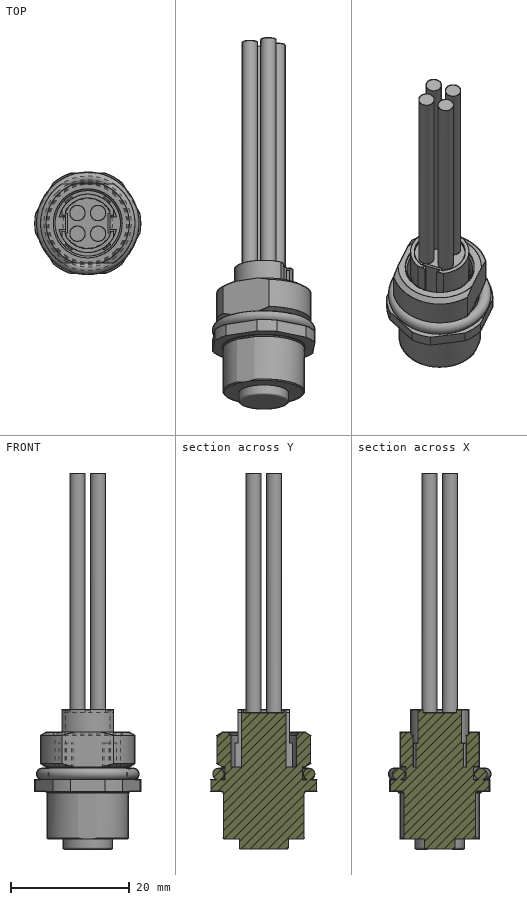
import cadquery as cq
import math

INSERT_BOTTOM_Z = 0.0
BODY_BOTTOM_Z = 1.7
FLANGE_BOTTOM_Z = 9.8
FLANGE_TOP_Z = 11.8
NUT_BOTTOM_Z = 13.95
NUT_TOP_Z = 19.85
COLLAR_TOP_Z = 23.65
WIRE_TOP_Z = 63.7

INSERT_DIAMETER = 8.4
INSERT_EDGE_ROUND = 0.3

BODY_DIAMETER = 13.8
BODY_ACROSS_FLATS = 13.4
BODY_BOTTOM_CHAMFER = 0.2

ROOT_DIAMETER = 14.1
ROOT_HEIGHT = 0.3
ROOT_RIM_HEIGHT = 0.1

FLANGE_ACROSS_FLATS = 17.0
FLANGE_DIAMETER = 18.0

SEAL_OUTER_DIAMETER = 17.4
SEAL_SECTION_DIAMETER = 2.0
SEAL_EMBEDDING = 0.05
BARREL_DIAMETER = 13.2

NUT_DIAMETER = 16.0
NUT_ACROSS_FLATS = 13.4
NUT_FACE_DIAMETER = 14.1
NUT_CHAMFER_ANGLE = 30.0
BORE_DIAMETER = 11.1
BORE_CHAMFER = 0.3

COLLAR_DIAMETER = 9.9
COLLAR_INNER_DIAMETER = 8.6
COLLAR_POCKET_DEPTH = 0.5
SIDE_ACROSS_FLATS = 8.75
SIDE_FLAT_BOTTOM_Z = 18.0
GROOVE_WIDTH = 2.1
GROOVE_MOUTH_WIDTH = 2.8
GROOVE_MOUTH_DEPTH = 0.5
GROOVE_FLOOR_X = 3.8
POCKET_FLOOR_Z = COLLAR_TOP_Z - COLLAR_POCKET_DEPTH
POCKET_LENGTH = 2 * GROOVE_FLOOR_X
THICK_WALL_WIDTH = 3.3
POCKET_NARROW_LENGTH = 6.8

RIB_ANGLE = 51.0
RIB_LENGTH = 1.4
RIB_HEIGHT = 0.25
RIB_ROOT_DEPTH = 0.4

WIRE_DIAMETER = 2.6
WIRE_SPACING = 3.5


def cylinder(diameter, bottom_z, top_z):
    """Upright cylinder about the Z axis."""
    return cq.Workplane("XY").workplane(offset=bottom_z).circle(diameter / 2).extrude(top_z - bottom_z)


def block(size_x, size_y, bottom_z, top_z):
    """Upright block centred on the Z axis."""
    return cq.Workplane("XY").workplane(offset=bottom_z).rect(size_x, size_y).extrude(top_z - bottom_z)


def make_insert():
    insert = cylinder(INSERT_DIAMETER, INSERT_BOTTOM_Z, BODY_BOTTOM_Z)
    return insert.faces("<Z").edges().fillet(INSERT_EDGE_ROUND)


def make_body_and_flange():
    body = cylinder(BODY_DIAMETER, BODY_BOTTOM_Z, FLANGE_BOTTOM_Z)
    body = body.faces("<Z").edges().chamfer(BODY_BOTTOM_CHAMFER)
    body = body.intersect(block(BODY_DIAMETER, BODY_ACROSS_FLATS, BODY_BOTTOM_Z, FLANGE_BOTTOM_Z))
    root = cylinder(ROOT_DIAMETER, FLANGE_BOTTOM_Z - ROOT_HEIGHT, FLANGE_BOTTOM_Z)
    root_taper = (ROOT_DIAMETER - BODY_DIAMETER) / 2
    root = root.faces("<Z").edges().chamfer(ROOT_HEIGHT - ROOT_RIM_HEIGHT, root_taper)

    corner_diameter = FLANGE_ACROSS_FLATS / math.cos(math.radians(30))
    flange_height = FLANGE_TOP_Z - FLANGE_BOTTOM_Z
    flange_plane = cq.Workplane("XY").workplane(offset=FLANGE_BOTTOM_Z)
    hexagon = flange_plane.polygon(6, corner_diameter).extrude(flange_height)
    flange = hexagon.intersect(cylinder(FLANGE_DIAMETER, FLANGE_BOTTOM_Z, FLANGE_TOP_Z))

    return body.union(root).union(flange)


def make_seal():
    section_radius = SEAL_SECTION_DIAMETER / 2
    ring_radius = SEAL_OUTER_DIAMETER / 2 - section_radius
    centre_z = FLANGE_TOP_Z - SEAL_EMBEDDING + section_radius
    section = cq.Workplane("XZ").center(ring_radius, centre_z).circle(section_radius)
    return section.revolve(360, (-ring_radius, 0), (-ring_radius, 1))


def make_nut():
    chamfer_width = (NUT_DIAMETER - NUT_FACE_DIAMETER) / 2
    chamfer_height = chamfer_width * math.tan(math.radians(NUT_CHAMFER_ANGLE))
    profile = (
        cq.Workplane("XZ")
        .moveTo(0, NUT_BOTTOM_Z)
        .lineTo(NUT_FACE_DIAMETER / 2, NUT_BOTTOM_Z)
        .lineTo(NUT_DIAMETER / 2, NUT_BOTTOM_Z + chamfer_height)
        .lineTo(NUT_DIAMETER / 2, NUT_TOP_Z - chamfer_height)
        .lineTo(NUT_FACE_DIAMETER / 2, NUT_TOP_Z)
        .lineTo(0, NUT_TOP_Z)
        .close()
    )
    nut = profile.revolve(360, (0, 0), (0, 1))
    nut = nut.intersect(block(NUT_DIAMETER, NUT_ACROSS_FLATS, NUT_BOTTOM_Z, NUT_TOP_Z))
    bore = cylinder(BORE_DIAMETER, NUT_BOTTOM_Z, NUT_TOP_Z)
    countersink = cylinder(BORE_DIAMETER + 2 * BORE_CHAMFER, NUT_TOP_Z - 2 * BORE_CHAMFER, NUT_TOP_Z)
    countersink = countersink.faces("<Z").edges().chamfer(BORE_CHAMFER)
    return nut.cut(bore).cut(countersink)


def make_barrel():
    """Barrel joining the flange to the nut through the sealing ring."""
    return cylinder(BARREL_DIAMETER, FLANGE_TOP_Z, NUT_BOTTOM_Z)


def make_collar_grooves():
    """Cutter for the vertical grooves, one in each side flat, flared at the top."""
    profile = (
        cq.Workplane("YZ")
        .moveTo(-GROOVE_WIDTH / 2, NUT_BOTTOM_Z)
        .lineTo(GROOVE_WIDTH / 2, NUT_BOTTOM_Z)
        .lineTo(GROOVE_WIDTH / 2, COLLAR_TOP_Z - GROOVE_MOUTH_DEPTH)
        .lineTo(GROOVE_MOUTH_WIDTH / 2, COLLAR_TOP_Z)
        .lineTo(-GROOVE_MOUTH_WIDTH / 2, COLLAR_TOP_Z)
        .lineTo(-GROOVE_WIDTH / 2, COLLAR_TOP_Z - GROOVE_MOUTH_DEPTH)
        .close()
    )
    between_floors = block(2 * GROOVE_FLOOR_X, COLLAR_DIAMETER, NUT_BOTTOM_Z, COLLAR_TOP_Z)
    return profile.extrude(COLLAR_DIAMETER / 2, both=True).cut(between_floors)


def make_collar_pocket():
    """Cutter for the shallow pocket around the wires, narrowed beside each groove."""
    pocket = cylinder(COLLAR_INNER_DIAMETER, POCKET_FLOOR_Z, COLLAR_TOP_Z)
    pocket = pocket.intersect(block(POCKET_LENGTH, COLLAR_DIAMETER, POCKET_FLOOR_Z, COLLAR_TOP_Z))
    thick_walls = block(POCKET_LENGTH, THICK_WALL_WIDTH, POCKET_FLOOR_Z, COLLAR_TOP_Z)
    between_walls = block(POCKET_NARROW_LENGTH, THICK_WALL_WIDTH, POCKET_FLOOR_Z, COLLAR_TOP_Z)
    return pocket.cut(thick_walls.cut(between_walls))


def make_collar():
    """Round below, flattened on both sides above."""
    round_base = cylinder(COLLAR_DIAMETER, NUT_BOTTOM_Z, SIDE_FLAT_BOTTOM_Z)
    flatted = cylinder(COLLAR_DIAMETER, SIDE_FLAT_BOTTOM_Z, COLLAR_TOP_Z)
    flatted = flatted.intersect(block(SIDE_ACROSS_FLATS, COLLAR_DIAMETER, SIDE_FLAT_BOTTOM_Z, COLLAR_TOP_Z))
    return round_base.union(flatted).cut(make_collar_grooves()).cut(make_collar_pocket())


def make_ribs():
    """Ribs mirrored about both centre planes of the collar."""
    inner_radius = COLLAR_DIAMETER / 2 - RIB_ROOT_DEPTH
    outer_radius = COLLAR_DIAMETER / 2 + RIB_HEIGHT
    rib = block(outer_radius - inner_radius, RIB_LENGTH, NUT_BOTTOM_Z, SIDE_FLAT_BOTTOM_Z)
    rib = rib.translate(((inner_radius + outer_radius) / 2, 0, 0))
    ribs = cq.Workplane("XY")
    for angle in (RIB_ANGLE, 180 - RIB_ANGLE, 180 + RIB_ANGLE, -RIB_ANGLE):
        ribs = ribs.add(rib.rotate((0, 0, 0), (0, 0, 1), angle))
    return ribs.combine()


def make_wires():
    return (
        cq.Workplane("XY")
        .workplane(offset=POCKET_FLOOR_Z)
        .rarray(WIRE_SPACING, WIRE_SPACING, 2, 2)
        .circle(WIRE_DIAMETER / 2)
        .extrude(WIRE_TOP_Z - POCKET_FLOOR_Z)
    )


result = make_body_and_flange()
for make_component in (make_insert, make_barrel, make_seal, make_nut, make_collar, make_ribs, make_wires):
    result = result.union(make_component())